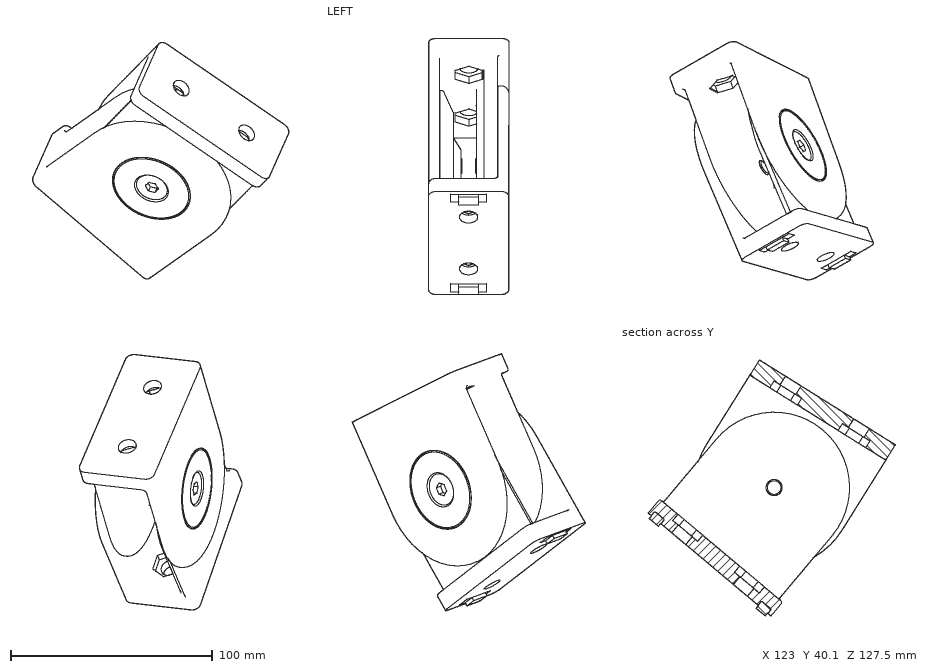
import cadquery as cq
import math


HALF_WIDTH = 39.9
DEPTH = 40.0
SIDE_SHIFT = 0.06
PIVOT_HEIGHT = 50.0
PLATE = 9.0
OUTER_ARM = 5.5
CORNER_RADIUS = 4.0
CAVITY_RADIUS = 2.0
EDGE_RADIUS = 1.0
LOWER_TILT = 40
UPPER_TILT = 212

INNER_ARM_START = 5.9
RIM_END = 7.4
FIRST_STEP = 12.5
SECOND_STEP = 16.3
RIM_RADIUS = 37.5
FIRST_STEP_RADIUS = 26.4
RIB_FOOT_RADIUS = 14
RIB_TOP_RADIUS = 8.0

HOLE_PITCH = 40.0
HOLE_DIAMETER = 9.0
NUT_CORNERS = 16.0
NUT_DEPTH = 4.0

CAP_DIAMETER = 40.0
CAP_CHAMFER = 0.6
CAP_HOLE_CHAMFER = 0.3
COUNTERSINK_DIAMETER = 17.6
HEAD_DIAMETER = 16.0
SHANK_DIAMETER = 8.0
TIP_DIAMETER = 6.8
TIP_LENGTH = 0.5
SOCKET_CORNERS = 6.8
SOCKET_DEPTH = 3.2

TAB_OFFSET = 34.7
TAB_WIDTH = 6.0
TAB_LENGTH = 10.0
TAB_HEIGHT = 1.8
WING_SPAN = 18.0
WING_DEPTH = 2.5

SIDE_OUT = SIDE_SHIFT - DEPTH / 2
SIDE_IN = SIDE_SHIFT + DEPTH / 2
WALL_FACE = SIDE_OUT + OUTER_ARM
UNDERSIDE = -PIVOT_HEIGHT
PLATE_TOP = UNDERSIDE + PLATE
ARM_FACE = -SIDE_IN + INNER_ARM_START
ARM_TOP = -SIDE_IN + SECOND_STEP
TOLERANCE = 0.01
ARM_OVERLAP = 1.3

Y_AXIS = ((0, 0, 0), (0, 1, 0))
Z_AXIS = ((0, 0, 0), (0, 0, 1))


def cylinder_y(radius, start, end):
    return cq.Workplane("XZ", origin=(0, start, 0)).circle(radius).extrude(start - end)


def bracket_shell():
    """Plate and outer arm, with the cavity open on three sides."""
    block = (
        cq.Workplane("XZ", origin=(0, SIDE_OUT, 0))
        .moveTo(-HALF_WIDTH, UNDERSIDE)
        .lineTo(HALF_WIDTH, UNDERSIDE)
        .lineTo(HALF_WIDTH, 0)
        .threePointArc((0, HALF_WIDTH), (-HALF_WIDTH, 0))
        .close()
        .extrude(-DEPTH)
    )
    arm_edges = cq.selectors.BoxSelector(
        (-2 * HALF_WIDTH, SIDE_OUT - 1.3, UNDERSIDE + 1.3), (2 * HALF_WIDTH, SIDE_OUT + 1.3, 2 * HALF_WIDTH)
    )
    block = block.edges(arm_edges).fillet(CORNER_RADIUS)
    block = block.edges("|Z and >Y").fillet(CORNER_RADIUS)
    cavity = (
        cq.Workplane("XY")
        .box(4 * HALF_WIDTH, 2 * DEPTH, 2 * PIVOT_HEIGHT, centered=(True, False, False))
        .translate((0, WALL_FACE, PLATE_TOP))
        .edges("|X and <Y and <Z")
        .fillet(CAVITY_RADIUS)
    )
    return block.cut(cavity)


def round_cavity_rim(shell):
    """Round the outer border of the cavity, leaving the seams of its root fillet."""

    def on_rim(edge):
        box = edge.BoundingBox()
        inside = box.ymin > WALL_FACE - TOLERANCE and box.zmin > PLATE_TOP - TOLERANCE
        near_wall = edge.Center().y < WALL_FACE + CAVITY_RADIUS + TOLERANCE
        along_root = box.xlen > HALF_WIDTH and near_wall and box.zlen < TOLERANCE
        return inside and not along_root

    rim = [edge for edge in shell.edges().vals() if on_rim(edge)]
    return shell.newObject(rim).fillet(EDGE_RADIUS)


def inner_arm_half_profile():
    """One half of the arm's cross-section, with every step corner rounded."""
    face = SIDE_IN - INNER_ARM_START
    rim = SIDE_IN - RIM_END
    first = SIDE_IN - FIRST_STEP
    second = SIDE_IN - SECOND_STEP
    step_corners = [
        (RIM_RADIUS, rim),
        (FIRST_STEP_RADIUS, first),
        (RIB_FOOT_RADIUS, first),
        (RIB_TOP_RADIUS, second),
    ]
    corners = [(0, face), (RIM_RADIUS, face), *step_corners, (0, second)]
    outline = cq.Wire.makePolygon([cq.Vector(x, y) for x, y in corners], close=True)

    def is_step(vertex):
        return any(math.dist((vertex.X, vertex.Y), corner) < TOLERANCE for corner in step_corners)

    rounded = outline.fillet2D(EDGE_RADIUS, [v for v in outline.Vertices() if is_step(v)])
    return cq.Workplane("XY").add(rounded).toPending()


def inner_arm():
    """Stepped arm: one profile turned around the pivot and drawn out to the plate on both sides."""
    round_end = inner_arm_half_profile().revolve(360, *Y_AXIS)
    right = inner_arm_half_profile().extrude(PLATE_TOP - ARM_OVERLAP)
    return round_end.union(right).union(right.mirror("YZ"))


def round_arm_root(body):
    """Fillet between the inner arm and the plate."""

    def at_root(edge):
        box = edge.BoundingBox()
        on_plate = abs(box.zmin - PLATE_TOP) < TOLERANCE and box.zlen < TOLERANCE
        below_face = box.ymax < SIDE_IN - INNER_ARM_START + TOLERANCE
        above_rib = box.ymin > SIDE_IN - SECOND_STEP - TOLERANCE
        within_arm = max(abs(box.xmin), abs(box.xmax)) < RIM_RADIUS + TOLERANCE
        return on_plate and below_face and above_rib and within_arm

    root = [edge for edge in body.edges().vals() if at_root(edge)]
    return body.newObject(root).fillet(EDGE_RADIUS)


def mounting_holes():
    """Through holes in the plate, each with a hexagonal pocket on the cavity side."""
    places = [(-HOLE_PITCH / 2, 0), (HOLE_PITCH / 2, 0)]
    holes = (
        cq.Workplane("XY", origin=(0, SIDE_SHIFT, UNDERSIDE))
        .pushPoints(places)
        .circle(HOLE_DIAMETER / 2)
        .extrude(PLATE)
    )
    pockets = (
        cq.Workplane("XY", origin=(0, SIDE_SHIFT, PLATE_TOP - NUT_DEPTH))
        .pushPoints(places)
        .polygon(6, NUT_CORNERS)
        .extrude(NUT_DEPTH)
    )
    return holes.union(pockets)


def bracket():
    body = round_cavity_rim(bracket_shell()).union(inner_arm())
    body = round_arm_root(body)
    body = body.cut(cylinder_y(CAP_DIAMETER / 2, SIDE_OUT, WALL_FACE))
    body = body.faces("<Y").edges("%CIRCLE").chamfer(CAP_HOLE_CHAMFER)
    body = body.cut(cylinder_y(SHANK_DIAMETER / 2, 0, SIDE_IN))
    return body.cut(mounting_holes())


def tab(x):
    """Block standing out under the plate, held by two wings flush with the underside."""
    block = (
        cq.Workplane("XY", origin=(x, SIDE_SHIFT, UNDERSIDE - TAB_HEIGHT))
        .rect(TAB_WIDTH, TAB_LENGTH)
        .extrude(TAB_HEIGHT + WING_DEPTH)
    )
    wings = (
        cq.Workplane("XY", origin=(x, SIDE_SHIFT, UNDERSIDE))
        .rect(TAB_WIDTH, WING_SPAN)
        .extrude(WING_DEPTH)
    )
    return block.union(wings)


def screw():
    """Countersunk screw on the -Y side, with a hexagon socket."""
    head_top = SIDE_OUT + (COUNTERSINK_DIAMETER - HEAD_DIAMETER) / 2
    cone = (HEAD_DIAMETER - SHANK_DIAMETER) / 2
    tip = (SHANK_DIAMETER - TIP_DIAMETER) / 2
    end = ARM_TOP + TIP_LENGTH
    body = (
        cq.Workplane("XY")
        .moveTo(0, head_top)
        .lineTo(HEAD_DIAMETER / 2, head_top)
        .lineTo(SHANK_DIAMETER / 2, head_top + cone)
        .lineTo(SHANK_DIAMETER / 2, end - tip)
        .lineTo(TIP_DIAMETER / 2, end)
        .lineTo(0, end)
        .close()
        .revolve(360, *Y_AXIS)
    )
    socket = (
        cq.Workplane("XZ", origin=(0, head_top, 0))
        .polygon(6, SOCKET_CORNERS)
        .extrude(-SOCKET_DEPTH)
        .rotate(*Y_AXIS, UPPER_TILT - 90)
    )
    return body.cut(socket)


def cap():
    """Disc on the -Y side that fills the outer arm's hole and rests on the inner arm."""
    disc = cylinder_y(CAP_DIAMETER / 2, SIDE_OUT, ARM_FACE).faces("<Y").edges().chamfer(CAP_CHAMFER)
    wide = COUNTERSINK_DIAMETER / 2
    narrow = SHANK_DIAMETER / 2
    hole = (
        cq.Workplane("XY")
        .moveTo(0, SIDE_OUT)
        .lineTo(wide, SIDE_OUT)
        .lineTo(narrow, SIDE_OUT + wide - narrow)
        .lineTo(narrow, ARM_FACE)
        .lineTo(0, ARM_FACE)
        .close()
        .revolve(360, *Y_AXIS)
    )
    return disc.cut(hole)


def half_turn(body):
    return body.rotate(*Z_AXIS, 180)


def tilt(body, angle):
    return body.rotate(*Y_AXIS, angle)


plain_bracket = bracket()
level_tabs = [tab(x) for x in (-TAB_OFFSET, TAB_OFFSET)]

slotted_bracket = plain_bracket
for level_tab in level_tabs:
    slotted_bracket = slotted_bracket.cut(level_tab)

lower_bracket = tilt(slotted_bracket, LOWER_TILT)
upper_bracket = tilt(half_turn(plain_bracket), UPPER_TILT)
tabs = [tilt(level_tab, LOWER_TILT) for level_tab in level_tabs]
caps = [cap(), half_turn(cap())]
screws = [screw(), half_turn(screw())]

bodies = [lower_bracket, upper_bracket, *tabs, *caps, *screws]
result = cq.Compound.makeCompound([body.val() for body in bodies])